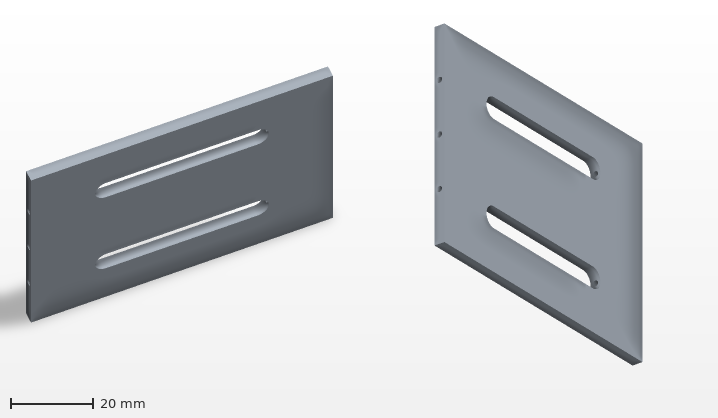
import cadquery as cq
import math

thickness = 3.0
length = 80.0
height = 60.0

slot_length = 46.0
slot_width = 6.0
row_offset = height / 4

hole_diameter = 1.6
blind_hole_depth = 10.0
drill_tip_angle = 118.0


def make_slot(z):
    """Round-ended slot cutter running along Y through the plate."""
    return (
        cq.Workplane("YZ", origin=(-thickness, 0, z))
        .slot2D(slot_length, slot_width)
        .extrude(2 * thickness)
    )


def make_edge_hole(z, depth):
    """Cylinder cutter entering the -Y edge in the middle of the thickness."""
    return cq.Workplane("XZ", origin=(0, -length / 2, z)).circle(hole_diameter / 2).extrude(-depth)


def make_drill_tip(z, depth):
    """Cone cutter that closes a blind edge hole of the given depth."""
    radius = hole_diameter / 2
    tip_height = radius / math.tan(math.radians(drill_tip_angle / 2))
    base_center = cq.Vector(0, depth - length / 2, z)
    return cq.Workplane(cq.Solid.makeCone(radius, 0, tip_height, base_center, cq.Vector(0, 1, 0)))


result = cq.Workplane("XY").box(thickness, length, height)

for row_z in (-row_offset, row_offset):
    result = result.cut(make_slot(row_z))
    result = result.cut(make_edge_hole(row_z, length))

result = result.cut(make_edge_hole(0, blind_hole_depth))
result = result.cut(make_drill_tip(0, blind_hole_depth))